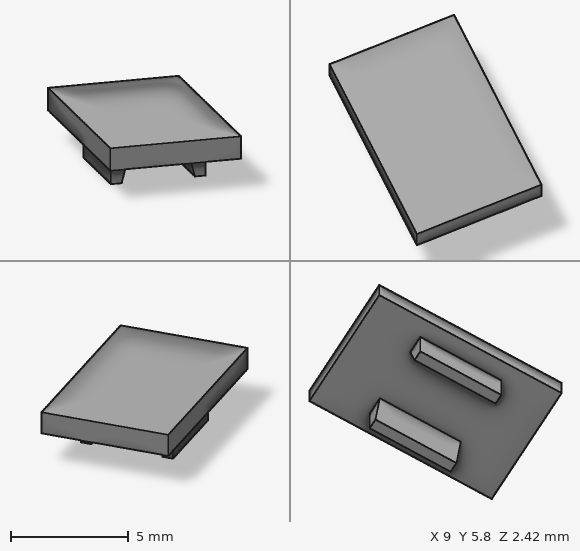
import cadquery as cq

plate_length = 9.0
plate_width = 5.8
plate_thickness = 1.0

overall_height = 2.42
leg_height = overall_height - plate_thickness
leg_length = 4.0
legs_outer_span = 4.2
leg_root_width = 0.85
leg_tip_width = 0.48


def tapered_leg(side):
    """Leg with a vertical outer face and a sloped inner face; side is +1 or -1 along Y."""
    outer_y = legs_outer_span / 2
    profile = [
        (side * outer_y, 0),
        (side * (outer_y - leg_root_width), 0),
        (side * (outer_y - leg_tip_width), -leg_height),
        (side * outer_y, -leg_height),
    ]
    return cq.Workplane("YZ").polyline(profile).close().extrude(leg_length / 2, both=True)


result = cq.Workplane("XY").box(
    plate_length, plate_width, plate_thickness, centered=(True, True, False)
)
for side in (1, -1):
    result = result.union(tapered_leg(side))